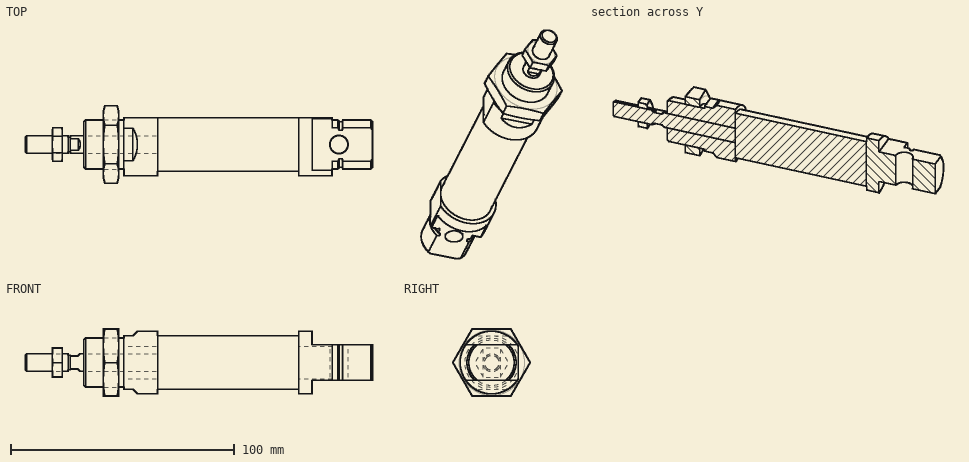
import cadquery as cq
import math


thread_end = 20.0
rod_flat_end = 23.5
front_cap_start = 26.0
shoulder = 44.0
front_cap_end = 59.0
rear_cap_start = 122.0
lug_flat_start = 128.0
rear_collar_end = 137.0
pivot_hole_x = 140.0
total_length = 155.0

rod_diameter = 8.0
rod_tip_diameter = 6.65
rod_groove_diameter = 6.5
rod_groove_width = 1.0
rod_across_flats = 6.0

tube_diameter = 24.0
cap_diameter = 28.0
cap_side_flat = tube_diameter / 2
cap_across_flats = 24.0
wrench_flat_length = 4.0

spigot_diameter = 22.0
spigot_end_diameter = 20.3
spigot_chamfer = (spigot_diameter - spigot_end_diameter) / 2

lug_thickness = 16.0
pivot_hole_diameter = 8.0
lug_groove_diameter = 20.38
lug_groove_depth = (spigot_diameter - lug_groove_diameter) / 2
lug_groove_start = 139.4
lug_groove_end = 141.7
lug_groove_corner_radius = 0.65

nut_face_ratio = 0.975
rod_nut_across_flats = 13.0
rod_nut_chamfer_angle = 8.0
rod_nut_start = 12.0
rod_nut_thickness = 4.5
cap_nut_across_flats = 30.0
cap_nut_chamfer_angle = 15.0
cap_nut_start = 34.7
cap_nut_thickness = 7.0


def revolve_about_x(profile):
    """Turn a closed profile of (x, radius) points about the X axis."""
    return cq.Workplane("XY").polyline(profile).close().revolve(360, (0, 0, 0), (1, 0, 0))


def cylinder_along_x(x_start, x_end, diameter):
    return cq.Workplane("YZ", origin=(x_start, 0, 0)).circle(diameter / 2).extrude(x_end - x_start)


def cut_wrench_flats(body, x_start, x_flat_end, across_flats, outer_diameter):
    """Cut flats on the +Z and -Z sides, each running out to the surface on a 45 degree ramp."""
    floor = across_flats / 2
    top = outer_diameter / 2 + 1
    ramp = top - floor
    cutter = (
        cq.Workplane("XZ")
        .polyline([(x_start, floor), (x_flat_end, floor), (x_flat_end + ramp, top), (x_start, top)])
        .close()
        .extrude(outer_diameter / 2, both=True)
    )
    return body.cut(cutter).cut(cutter.mirror("XY"))


def cut_side_flat(body, x_start, x_end):
    """Trim the +Y side of a cap down to the level of the tube."""
    depth = cap_diameter / 2
    cutter = cq.Workplane("XY").box(
        x_end - x_start, depth, cap_diameter, centered=(False, False, True)
    ).translate((x_start, cap_side_flat, 0))
    return body.cut(cutter)


def make_rod():
    radius = rod_diameter / 2
    tip_radius = rod_tip_diameter / 2
    groove_radius = rod_groove_diameter / 2
    groove_start = thread_end - rod_groove_width
    rod = revolve_about_x([
        (0, 0),
        (0, tip_radius),
        (radius - tip_radius, radius),
        (groove_start, radius),
        (groove_start, groove_radius),
        (thread_end, groove_radius),
        (thread_end, radius),
        (front_cap_end, radius),
        (front_cap_end, 0),
    ])
    return cut_wrench_flats(rod, thread_end, rod_flat_end, rod_across_flats, rod_diameter)


def make_nut(x_start, thickness, across_flats, hole_diameter, chamfer_angle):
    """Hexagon nut with flats facing +Z and -Z and both ends chamfered at the corners."""
    corner_diameter = across_flats / math.cos(math.pi / 6)
    corner_radius = corner_diameter / 2
    face_radius = nut_face_ratio * across_flats / 2
    chamfer = (corner_radius - face_radius) * math.tan(math.radians(chamfer_angle))
    x_end = x_start + thickness
    hexagon = (
        cq.Workplane("YZ", origin=(x_start, 0, 0))
        .polygon(6, corner_diameter)
        .circle(hole_diameter / 2)
        .extrude(thickness)
    )
    chamfer_envelope = revolve_about_x([
        (x_start, 0),
        (x_start, face_radius),
        (x_start + chamfer, corner_radius),
        (x_end - chamfer, corner_radius),
        (x_end, face_radius),
        (x_end, 0),
    ])
    return hexagon.intersect(chamfer_envelope)


def make_front_cap():
    bore_radius = rod_diameter / 2
    spigot_radius = spigot_diameter / 2
    cap_radius = cap_diameter / 2
    cap = revolve_about_x([
        (front_cap_start, bore_radius),
        (front_cap_start, spigot_end_diameter / 2),
        (front_cap_start + spigot_chamfer, spigot_radius),
        (shoulder, spigot_radius),
        (shoulder, cap_radius),
        (front_cap_end, cap_radius),
        (front_cap_end, bore_radius),
    ])
    cap = cut_wrench_flats(cap, shoulder, shoulder + wrench_flat_length, cap_across_flats, cap_diameter)
    return cut_side_flat(cap, shoulder, front_cap_end)


def make_tube():
    return cylinder_along_x(front_cap_end, rear_cap_start, tube_diameter)


def make_lug_groove():
    """Ring cutter with a 45 degree ramp on its front side and a round corner on its rear side."""
    spigot_radius = spigot_diameter / 2
    groove_radius = lug_groove_diameter / 2
    corner_start = lug_groove_end - lug_groove_corner_radius
    corner_top = groove_radius + lug_groove_corner_radius
    corner_mid_offset = lug_groove_corner_radius * math.sin(math.pi / 4)
    corner_mid = (corner_start + corner_mid_offset, corner_top - corner_mid_offset)
    return (
        cq.Workplane("XY")
        .moveTo(lug_groove_start, spigot_radius)
        .lineTo(lug_groove_start + lug_groove_depth, groove_radius)
        .lineTo(corner_start, groove_radius)
        .threePointArc(corner_mid, (lug_groove_end, corner_top))
        .lineTo(lug_groove_end, spigot_radius)
        .close()
        .revolve(360, (0, 0, 0), (1, 0, 0))
    )


def make_rear_cap():
    spigot_radius = spigot_diameter / 2
    cap_radius = cap_diameter / 2
    cap = revolve_about_x([
        (rear_cap_start, 0),
        (rear_cap_start, cap_radius),
        (rear_collar_end, cap_radius),
        (rear_collar_end, spigot_radius),
        (total_length - spigot_chamfer, spigot_radius),
        (total_length, spigot_end_diameter / 2),
        (total_length, 0),
    ])
    cap = cut_side_flat(cap, rear_cap_start, rear_collar_end)
    cap = cap.cut(make_lug_groove())

    side_height = (cap_diameter - lug_thickness) / 2
    lug_length = total_length - lug_flat_start
    lug_side = cq.Workplane("XY").box(
        lug_length, cap_diameter, side_height, centered=(False, True, False)
    ).translate((lug_flat_start, 0, lug_thickness / 2))
    cap = cap.cut(lug_side).cut(lug_side.mirror("XY"))

    pivot_hole = (
        cq.Workplane("XY")
        .center(pivot_hole_x, 0)
        .circle(pivot_hole_diameter / 2)
        .extrude(lug_thickness, both=True)
    )
    return cap.cut(pivot_hole)


rod = make_rod()
rod_nut = make_nut(rod_nut_start, rod_nut_thickness, rod_nut_across_flats,
                   rod_diameter, rod_nut_chamfer_angle)
front_cap = make_front_cap()
cap_nut = make_nut(cap_nut_start, cap_nut_thickness, cap_nut_across_flats,
                   spigot_diameter, cap_nut_chamfer_angle)
tube = make_tube()
rear_cap = make_rear_cap()

result = cq.Compound.makeCompound([
    rod.val(),
    rod_nut.val(),
    front_cap.val(),
    cap_nut.val(),
    tube.val(),
    rear_cap.val(),
])